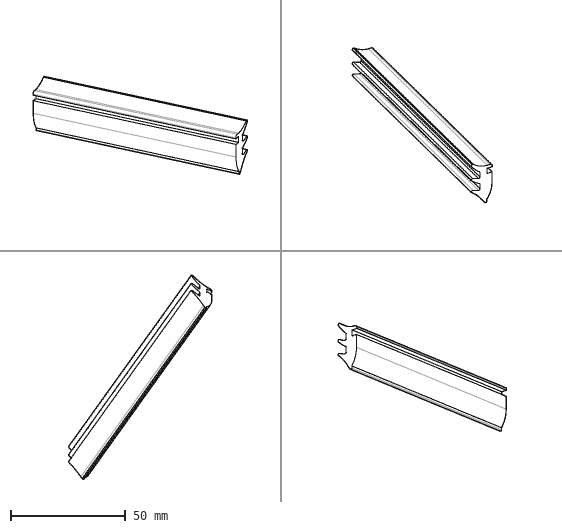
import cadquery as cq

length = 100.0
depth = 10.9
height = 23.1

face_y = 0.2
face_bottom_z = 9.4
groove_floor_y = 2.7
groove_bottom_z = 15.4
groove_top_z = 18.1
nose_edge_z = 18.6
top_flat_z = 19.8
top_flat_front_y = 1.3
top_flat_back_y = 2.6

lip_front_y = 2.9
lip_front_z = 1.4
lip_bottom_front_y = 3.3
lip_bottom_back_y = 3.8
lip_back_y = 4.5
lip_back_z = 0.9
lip_corner_z = 0.4

channel_y = 6.3
fin_root_y = 7.1
corner_drop = 0.5
corner_bulge = 0.2
lower_channel = (8.5, 11.2)
upper_channel = (14.8, 17.4)

lower_tip_z = 8.4
middle_tip_z = 14.6
upper_tip_z = 22.3
lower_crest = (9.9, 9.0)
middle_crest = (10.2, 15.6)
upper_crest = (10.3, height)
upper_blend_end = (9.6, 22.9)
tip_inset = 0.2
tip_rise = 0.6

lip_corner_mid = (3.0, 0.12)
rear_flank_mid = (7.6, 5.2)
middle_fin_under_mid = (8.7, 12.8)
upper_fin_under_mid = (8.6, 19.6)
upper_blend_mid = (9.9, 23.0)
top_mid = (6.7, 21.0)
nose_mid = (0.4, 19.4)


def add_channel(outline, wall, under_mid, fin_tip):
    """Trace a channel from the lower fin's root up to the tip of the fin above."""
    bottom_z, top_z = wall
    corner_z = bottom_z - corner_drop
    return (
        outline
        .lineTo(fin_root_y, corner_z)
        .threePointArc((channel_y + corner_bulge, corner_z + corner_bulge), (channel_y, bottom_z))
        .lineTo(channel_y, top_z)
        .threePointArc(under_mid, fin_tip)
    )


def add_tip(outline, tip_z, crest):
    """Round a fin end from its rearmost point to its crest."""
    middle = (depth - tip_inset, tip_z + tip_rise * (crest[1] - tip_z))
    return outline.threePointArc(middle, crest)


outline = (
    cq.Workplane("YZ")
    .moveTo(lip_front_y, lip_front_z)
    .lineTo(lip_front_y, lip_corner_z)
    .threePointArc(lip_corner_mid, (lip_bottom_front_y, 0))
    .lineTo(lip_bottom_back_y, 0)
    .lineTo(lip_back_y, lip_back_z)
    .threePointArc(rear_flank_mid, (depth, lower_tip_z))
)

outline = add_tip(outline, lower_tip_z, lower_crest)
outline = add_channel(outline, lower_channel, middle_fin_under_mid, (depth, middle_tip_z))
outline = add_tip(outline, middle_tip_z, middle_crest)
outline = add_channel(outline, upper_channel, upper_fin_under_mid, (depth, upper_tip_z))
outline = add_tip(outline, upper_tip_z, upper_crest)

outline = (
    outline
    .threePointArc(upper_blend_mid, upper_blend_end)
    .threePointArc(top_mid, (top_flat_back_y, top_flat_z))
    .lineTo(top_flat_front_y, top_flat_z)
    .threePointArc(nose_mid, (0, nose_edge_z))
    .lineTo(0, groove_top_z)
    .lineTo(groove_floor_y, groove_top_z)
    .lineTo(groove_floor_y, groove_bottom_z)
    .lineTo(face_y, groove_bottom_z)
    .lineTo(face_y, face_bottom_z)
    .tangentArcPoint((lip_front_y, lip_front_z), relative=False)
    .close()
)

result = outline.extrude(length)